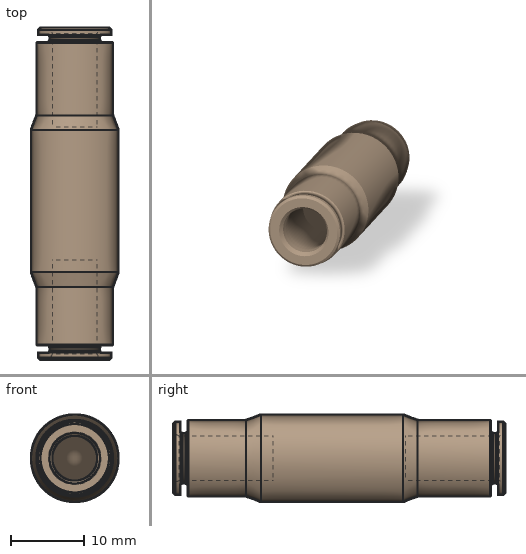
import cadquery as cq

total_length = 45.5
barrel_diameter = 12.0
sleeve_diameter = 10.5
front_sleeve_end = 10.0
rear_sleeve_end = 12.0
shoulder_length = 2.0
sleeve_chamfer = 0.15

collar_diameter = 10.0
collar_thickness = 1.0
collar_chamfer = 0.3
neck_diameter = 6.9
neck_length = 1.0
neck_flare = 0.15
collar_flare_length = 0.27
sleeve_flare_length = 0.3

bore_diameter = 6.15
bore_mouth_diameter = 6.9
bore_mouth_depth = 0.8
bore_depth = 13.65

half_length = total_length / 2
barrel_radius = barrel_diameter / 2
sleeve_radius = sleeve_diameter / 2
collar_radius = collar_diameter / 2
neck_radius = neck_diameter / 2
sleeve_start = collar_thickness + neck_length


def half_body(sleeve_end):
    """Solid from the middle plane to the -Y end, with its socket."""

    def at(radius, distance_from_end):
        return (radius, distance_from_end - half_length)

    outline = [
        at(0, 0),
        at(collar_radius - collar_chamfer, 0),
        at(collar_radius, collar_chamfer),
        at(collar_radius, collar_thickness),
        at(neck_radius + neck_flare, collar_thickness),
        at(neck_radius, collar_thickness + collar_flare_length),
        at(neck_radius, sleeve_start - sleeve_flare_length),
        at(neck_radius + neck_flare, sleeve_start),
        at(sleeve_radius - sleeve_chamfer, sleeve_start),
        at(sleeve_radius, sleeve_start + sleeve_chamfer),
        at(sleeve_radius, sleeve_end),
        at(barrel_radius, sleeve_end + shoulder_length),
        at(barrel_radius, half_length),
        at(0, half_length),
    ]
    socket = [
        at(0, 0),
        at(bore_mouth_diameter / 2, 0),
        at(bore_diameter / 2, bore_mouth_depth),
        at(bore_diameter / 2, bore_depth),
        at(0, bore_depth),
    ]

    def revolved(points):
        return cq.Workplane("XY").polyline(points).close().revolve(360, (0, 0), (0, 1))

    return revolved(outline).cut(revolved(socket))


front_half = half_body(front_sleeve_end)
rear_half = half_body(rear_sleeve_end).mirror("XZ")
result = front_half.union(rear_half)